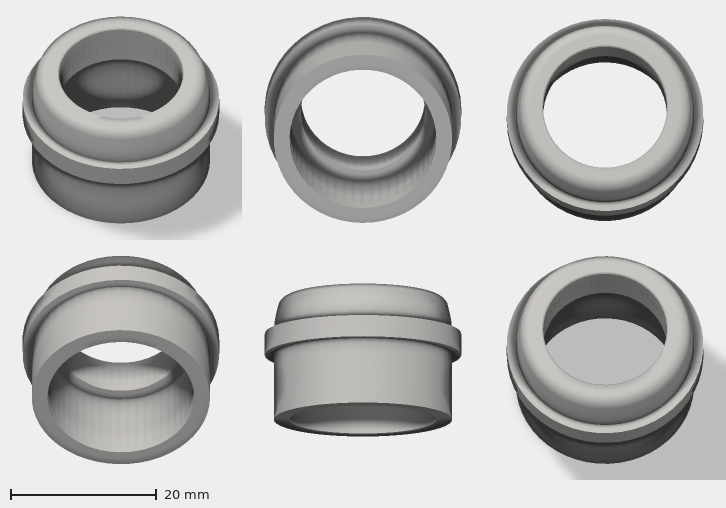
import cadquery as cq

flange_diameter = 27.0
body_diameter = 24.5
dome_shoulder_diameter = 23.33
top_face_diameter = 20.47
throat_diameter = 17.0
rim_diameter = 17.33
socket_diameter = 20.15

total_height = 17.0
flange_bottom = 9.02
flange_thickness = 2.97
dome_shoulder_drop = 1.1
throat_length = 6.0
rim_chamfer_depth = 0.15
dome_bulge = 0.14
edge_bulge = 0.3

flange_radius = flange_diameter / 2
body_radius = body_diameter / 2
shoulder_radius = dome_shoulder_diameter / 2
top_face_radius = top_face_diameter / 2
throat_radius = throat_diameter / 2
rim_radius = rim_diameter / 2
socket_radius = socket_diameter / 2
flange_top = flange_bottom + flange_thickness
shoulder_height = total_height - dome_shoulder_drop
socket_top = total_height - throat_length

section = (
    cq.Workplane("XZ")
    .moveTo(socket_radius, 0)
    .lineTo(body_radius, 0)
    .lineTo(body_radius, flange_bottom)
    .lineTo(flange_radius, flange_bottom)
    .lineTo(flange_radius, flange_top)
    .lineTo(body_radius, flange_top)
    .sagittaArc((shoulder_radius, shoulder_height), -dome_bulge)
    .sagittaArc((top_face_radius, total_height), -edge_bulge)
    .lineTo(rim_radius, total_height)
    .lineTo(throat_radius, total_height - rim_chamfer_depth)
    .lineTo(throat_radius, socket_top)
    .lineTo(socket_radius, socket_top)
    .close()
)

result = section.revolve(360, (0, 0, 0), (0, 1, 0))